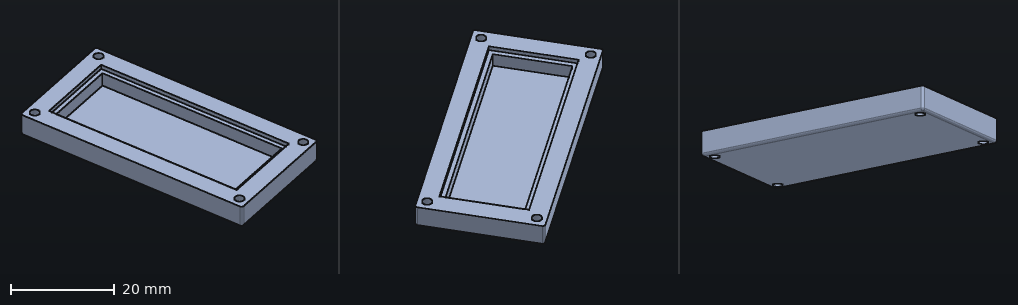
import cadquery as cq

length = 52.0
width = 25.75
height = 5.0
edge_radius = 0.5

rim_width = 4.0
ledge_width = 1.0
ledge_depth = 1.0
recess_depth = 4.0

hole_diameter = 2.0
hole_inset = 2.05

recess_length = length - 2 * rim_width
recess_width = width - 2 * rim_width


def rounded_block():
    """Block with rounded upright corners and a rounded bottom perimeter."""
    block = cq.Workplane("XY").box(length, width, height, centered=(True, True, False))
    return block.edges("|Z or <Z").fillet(edge_radius)


def pocket(pocket_length, pocket_width, depth):
    """Rectangular cutter reaching down from the top face."""
    return (
        cq.Workplane("XY", origin=(0, 0, height - depth))
        .rect(pocket_length, pocket_width)
        .extrude(depth)
    )


def corner_holes():
    """Four through-hole cutters, one near each corner."""
    return (
        cq.Workplane("XY")
        .rect(length - 2 * hole_inset, width - 2 * hole_inset, forConstruction=True)
        .vertices()
        .circle(hole_diameter / 2)
        .extrude(height)
    )


result = (
    rounded_block()
    .cut(pocket(recess_length, recess_width, ledge_depth))
    .cut(pocket(recess_length - 2 * ledge_width, recess_width - 2 * ledge_width, recess_depth))
    .cut(corner_holes())
)